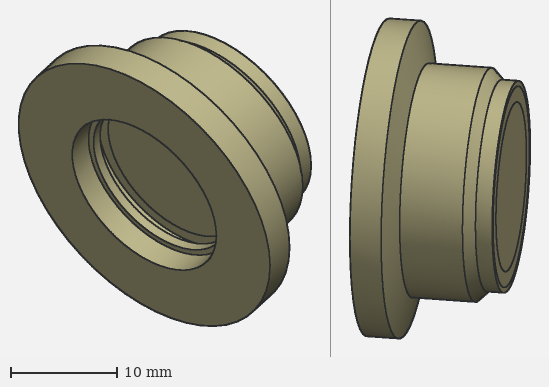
import cadquery as cq

length = 12.7
front_face = -length / 2

flange_diameter = 30.0
flange_rim = 3.0
flange_taper = 1.05
body_diameter = 22.1
nose_diameter = 20.0
nose_length = 1.6
shoulder_length = (body_diameter - nose_diameter) / 2

entry_diameter = 17.2
entry_depth = 2.5
window_diameter = 16.0
lip_diameter = window_diameter
lip_thickness = 1.0
lip_rear = entry_depth + lip_thickness
seat_diameter = 19.0

insert_depth = 4.7
ring_edge_radius = 0.5


def at_depth(diameter, depth):
    """Profile point at a diameter and a depth behind the flange face."""
    return (diameter / 2, front_face + depth)


def revolve_profile(points):
    """Turn a closed half-profile about the Y axis."""
    return cq.Workplane("XY").polyline(points).close().revolve(360, (0, 0), (0, 1))


def make_housing():
    """Flanged tube with a tapered flange back, a stepped nose and an internal lip."""
    return revolve_profile([
        at_depth(entry_diameter, 0),
        at_depth(flange_diameter, 0),
        at_depth(flange_diameter, flange_rim),
        at_depth(body_diameter, flange_rim + flange_taper),
        at_depth(body_diameter, length - nose_length - shoulder_length),
        at_depth(nose_diameter, length - nose_length),
        at_depth(nose_diameter, length),
        at_depth(seat_diameter, length),
        at_depth(seat_diameter, lip_rear),
        at_depth(lip_diameter, lip_rear),
        at_depth(lip_diameter, entry_depth),
        at_depth(entry_diameter, entry_depth),
    ])


def make_ring():
    """Plain sleeve in the housing seat, with its outer front edge rounded."""
    sleeve = revolve_profile([
        at_depth(window_diameter, insert_depth),
        at_depth(seat_diameter, insert_depth),
        at_depth(seat_diameter, length),
        at_depth(window_diameter, length),
    ])
    return sleeve.faces("<Y").edges(cq.selectors.RadiusNthSelector(-1)).fillet(ring_edge_radius)


def make_window():
    """Solid disc filling the ring, flush with both of its ends."""
    return revolve_profile([
        at_depth(0, insert_depth),
        at_depth(window_diameter, insert_depth),
        at_depth(window_diameter, length),
        at_depth(0, length),
    ])


housing = make_housing()
ring = make_ring()
window = make_window()

result = cq.Compound.makeCompound([housing.val(), ring.val(), window.val()])